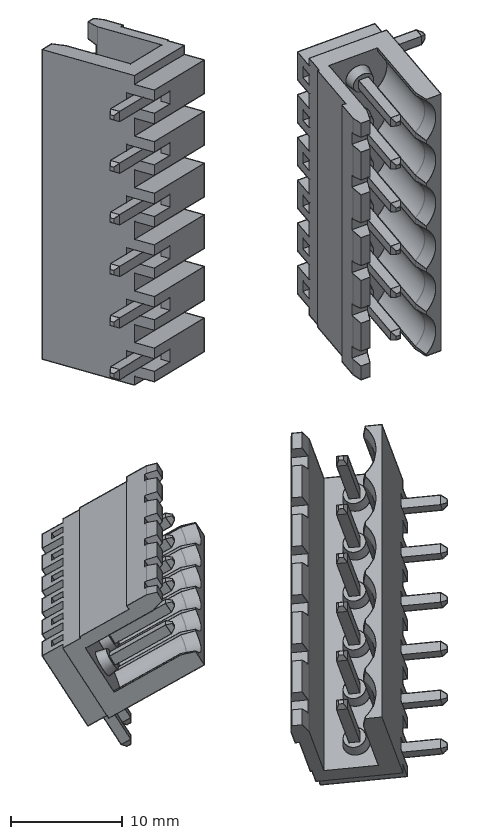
import cadquery as cq

PIN_COUNT = 6
LENGTH = 30.48
PITCH = LENGTH / PIN_COUNT
PIN_LEVELS = [(i + 0.5) * PITCH for i in range(PIN_COUNT)]

DEPTH = 12.2
BODY_DEPTH = 10.03
BACK_HEIGHT = 7.95
RAIL_HEIGHT = 8.1
LATCH_HEIGHT = 8.5
RAIL_END = 8.2
LATCH_END = 3.02
POCKET_FLOOR = 8.3
POCKET_LOW = 1.92
POCKET_HIGH = 6.9
LEAD_IN_LENGTH = 1.3
LEAD_IN_RISE = 0.4
TIP_LENGTH = 0.95
TIP_DROP = 0.27

SCALLOP_RADIUS = 2.95

NOTCH_DEPTH = 1.13
NOTCH_FLOOR_HALF = 0.67
NOTCH_MOUTH_HALF = 0.88

TOOTH_WIDTH = 3.32
SLOT_START = 9.15
SLOT_WIDTH = 1.25
SLOT_DEPTH = 2.5
WINDOW_END = 11.2

PIN_WIDTH = 1.0
PIN_TIP_WIDTH = 0.43
PIN_TAPER = 0.52
PIN_AXIS_Y = 3.9
PIN_AXIS_X = 10.3
CONTACT_TIP = 0.88
SOLDER_LENGTH = 4.0

COLLAR_LENGTH = 1.0
COLLAR_ROOT_RADIUS = 1.25
COLLAR_TIP_RADIUS = 1.05


def box(x_range, y_range, z_center, width):
    """Box spanning two ranges in X and Y, centred on a level in Z."""
    return (
        cq.Workplane("XY", origin=(0, 0, z_center - width / 2))
        .moveTo(x_range[0], y_range[0])
        .lineTo(x_range[1], y_range[0])
        .lineTo(x_range[1], y_range[1])
        .lineTo(x_range[0], y_range[1])
        .close()
        .extrude(width)
    )


def make_housing():
    """U-shaped channel with a latch arm above and a plain arm below."""
    outline = [
        (0, 0),
        (BODY_DEPTH, 0),
        (BODY_DEPTH, BACK_HEIGHT),
        (RAIL_END, BACK_HEIGHT),
        (RAIL_END, RAIL_HEIGHT),
        (LATCH_END, RAIL_HEIGHT),
        (LATCH_END, LATCH_HEIGHT),
        (TIP_LENGTH, LATCH_HEIGHT),
        (0, LATCH_HEIGHT - TIP_DROP),
        (0, POCKET_HIGH + LEAD_IN_RISE),
        (LEAD_IN_LENGTH, POCKET_HIGH),
        (POCKET_FLOOR, POCKET_HIGH),
        (POCKET_FLOOR, POCKET_LOW),
        (LEAD_IN_LENGTH, POCKET_LOW),
        (0, POCKET_LOW - LEAD_IN_RISE),
    ]
    return cq.Workplane("XY").polyline(outline).close().extrude(LENGTH)


def make_scallop(z):
    """Round clearance with a conical mouth, limited to the lower arm."""
    mouth_radius = SCALLOP_RADIUS + LEAD_IN_RISE
    turned = (
        cq.Workplane("XY")
        .moveTo(0, PIN_AXIS_Y)
        .lineTo(0, PIN_AXIS_Y - mouth_radius)
        .lineTo(LEAD_IN_LENGTH, PIN_AXIS_Y - SCALLOP_RADIUS)
        .lineTo(POCKET_FLOOR, PIN_AXIS_Y - SCALLOP_RADIUS)
        .lineTo(POCKET_FLOOR, PIN_AXIS_Y)
        .close()
        .revolve(360, (0, PIN_AXIS_Y, 0), (1, PIN_AXIS_Y, 0))
        .translate((0, 0, z))
    )
    return turned.intersect(box((0, POCKET_FLOOR), (0, PIN_AXIS_Y), z, 2 * mouth_radius))


def make_notch(z):
    """Notch across the latch bump, wider at the tip than at its floor."""
    return (
        cq.Workplane("XZ", origin=(0, LATCH_HEIGHT, 0))
        .moveTo(0, z - NOTCH_MOUTH_HALF)
        .lineTo(NOTCH_DEPTH, z - NOTCH_FLOOR_HALF)
        .lineTo(NOTCH_DEPTH, z + NOTCH_FLOOR_HALF)
        .lineTo(0, z + NOTCH_MOUTH_HALF)
        .close()
        .extrude(LATCH_HEIGHT - PIN_AXIS_Y)
    )


def make_slot(z):
    """Recess for the solder leg with a window running through in Y."""
    recess = box((SLOT_START, DEPTH), (0, SLOT_DEPTH), z, SLOT_WIDTH)
    window = box((BODY_DEPTH, WINDOW_END), (0, BACK_HEIGHT), z, SLOT_WIDTH)
    return recess.union(window)


def make_leg(plane, length):
    """Square leg starting on a plane and ending in a tapered tip."""
    shank = cq.Workplane(plane).rect(PIN_WIDTH, PIN_WIDTH).extrude(length - PIN_TAPER)
    tip = (
        cq.Workplane(plane)
        .workplane(offset=length - PIN_TAPER)
        .rect(PIN_WIDTH, PIN_WIDTH)
        .workplane(offset=PIN_TAPER)
        .rect(PIN_TIP_WIDTH, PIN_TIP_WIDTH)
        .loft(ruled=True)
    )
    return shank.union(tip)


def make_pin(z):
    """Right-angle pin: contact leg towards -X, solder leg towards -Y."""
    corner_x = PIN_AXIS_X + PIN_WIDTH / 2
    corner_y = PIN_AXIS_Y + PIN_WIDTH / 2
    contact_plane = cq.Plane((corner_x, PIN_AXIS_Y, z), xDir=(0, 1, 0), normal=(-1, 0, 0))
    solder_plane = cq.Plane((PIN_AXIS_X, corner_y, z), xDir=(1, 0, 0), normal=(0, -1, 0))
    contact = make_leg(contact_plane, corner_x - CONTACT_TIP)
    solder = make_leg(solder_plane, corner_y + SOLDER_LENGTH)
    return contact.union(solder)


def make_collar(z):
    """Cone frustum on the socket floor around the contact leg."""
    floor_plane = cq.Plane((POCKET_FLOOR, PIN_AXIS_Y, z), xDir=(0, 1, 0), normal=(-1, 0, 0))
    return (
        cq.Workplane(floor_plane)
        .circle(COLLAR_ROOT_RADIUS)
        .workplane(offset=COLLAR_LENGTH)
        .circle(COLLAR_TIP_RADIUS)
        .loft()
    )


result = make_housing()
for level in PIN_LEVELS:
    tooth = box((BODY_DEPTH, DEPTH), (0, BACK_HEIGHT), level, TOOTH_WIDTH)
    result = result.cut(make_scallop(level)).cut(make_notch(level))
    result = result.union(tooth).cut(make_slot(level))
    result = result.union(make_collar(level)).union(make_pin(level))